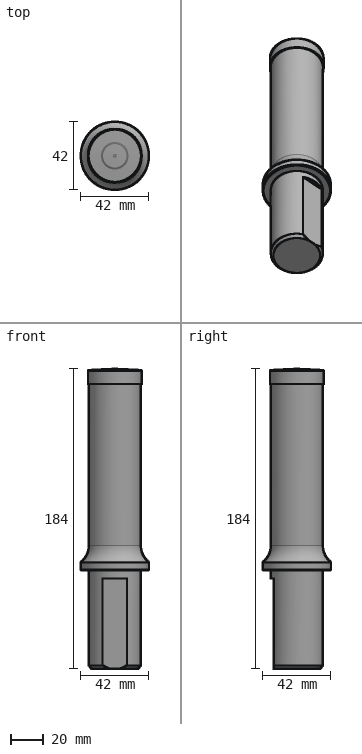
import math

import cadquery as cq

total_length = 184.0
head_length = 9.4
shank_length = 60.4
collar_thickness = 5.5
flare_height = 9.8

body_diameter = 32.0
collar_diameter = 42.0
head_diameter = 33.1
tip_diameter = 16.2
tip_flat_diameter = 1.5

shank_chamfer_height = 2.2
shank_chamfer_width = 1.7
collar_chamfer = 0.5
head_chamfer = 0.5

tip_step_width = 0.5
tip_step_height = 0.2
tip_cone_rise = 0.2
face_cone_rise = 0.4

flat_distance = 14.2
flat_length = 55.4

body_radius = body_diameter / 2
collar_radius = collar_diameter / 2
head_radius = head_diameter / 2
tip_radius = tip_diameter / 2
tip_flat_radius = tip_flat_diameter / 2
collar_top = shank_length + collar_thickness
flare_top = collar_top + flare_height
head_bottom = total_length - head_length
tip_step_top = total_length - tip_cone_rise
face_top = tip_step_top - tip_step_height
face_rim = face_top - face_cone_rise

flare_width = collar_radius - collar_chamfer - body_radius
flare_radius = (flare_width**2 + flare_height**2) / (2 * flare_width)
flare_half_angle = math.asin(flare_height / flare_radius) / 2
flare_mid = (
    body_radius + flare_radius * (1 - math.cos(flare_half_angle)),
    flare_top - flare_radius * math.sin(flare_half_angle),
)


def revolve_profile(profile):
    """Turn a closed (radius, height) profile about the Z axis."""
    return profile.close().revolve(360, (0, 0), (0, 1))


def make_holder():
    """Turned shank, collar, flare and body, with a clamping flat."""
    holder = revolve_profile(
        cq.Workplane("XZ")
        .moveTo(0, 0)
        .lineTo(body_radius - shank_chamfer_width, 0)
        .lineTo(body_radius, shank_chamfer_height)
        .lineTo(body_radius, shank_length)
        .lineTo(collar_radius - collar_chamfer, shank_length)
        .lineTo(collar_radius, shank_length + collar_chamfer)
        .lineTo(collar_radius, collar_top - collar_chamfer)
        .lineTo(collar_radius - collar_chamfer, collar_top)
        .threePointArc(flare_mid, (body_radius, flare_top))
        .lineTo(body_radius, head_bottom)
        .lineTo(0, head_bottom)
    )
    flat_cutter = cq.Workplane("XY").box(
        body_diameter, body_radius, flat_length, centered=(True, False, False)
    ).translate((0, -flat_distance - body_radius, 0))
    return holder.cut(flat_cutter)


def make_head():
    """Cutting head: a disc with a chamfered rim, conical face and raised, flattened tip."""
    return revolve_profile(
        cq.Workplane("XZ")
        .moveTo(0, head_bottom)
        .lineTo(head_radius, head_bottom)
        .lineTo(head_radius, face_rim - head_chamfer)
        .lineTo(head_radius - head_chamfer, face_rim)
        .lineTo(tip_radius, face_top)
        .lineTo(tip_radius - tip_step_width, tip_step_top)
        .lineTo(tip_flat_radius, total_length)
        .lineTo(0, total_length)
    )


holder = make_holder()
head = make_head()

result = cq.Compound.makeCompound([holder.val(), head.val()])